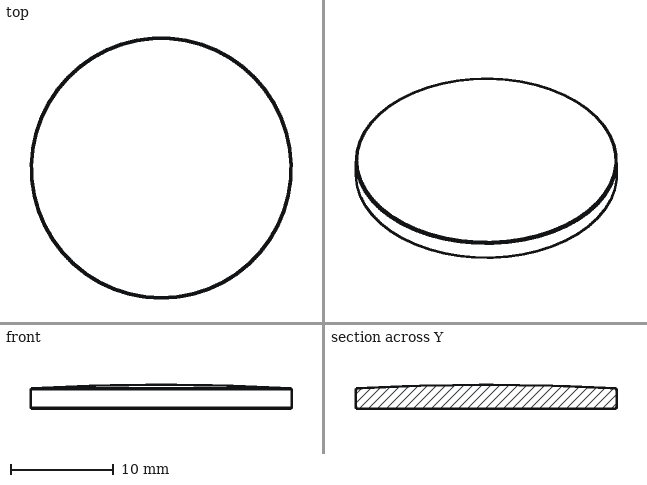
import cadquery as cq

diameter = 25.4
center_thickness = 2.35
dome_height = 0.35
bevel = 0.14

radius = diameter / 2
face_radius = radius - bevel
dome_rim_z = center_thickness - dome_height
sphere_radius = (face_radius**2 + dome_height**2) / (2 * dome_height)

mid_radius = face_radius / 2
sphere_center_z = center_thickness - sphere_radius
mid_z = sphere_center_z + (sphere_radius**2 - mid_radius**2) ** 0.5

half_section = (
    cq.Workplane("YZ")
    .lineTo(-face_radius, 0)
    .lineTo(-radius, bevel)
    .lineTo(-radius, dome_rim_z - bevel)
    .lineTo(-face_radius, dome_rim_z)
    .threePointArc((-mid_radius, mid_z), (0, center_thickness))
    .close()
)
result = half_section.revolve(360, (0, 0, 0), (0, 1, 0))